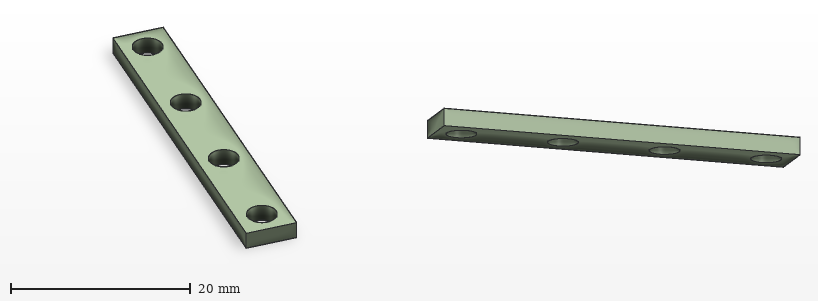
import cadquery as cq

length = 41.7
width = 6.0
thickness = 2.0
hole_diameter = 3.4
hole_count = 4

end_distance = width / 2
hole_pitch = (length - 2 * end_distance) / (hole_count - 1)

bar = cq.Workplane("XY").box(length, width, thickness)
result = (
    bar.faces(">Z")
    .workplane()
    .rarray(hole_pitch, 0.4, hole_count, 1)
    .hole(hole_diameter)
)